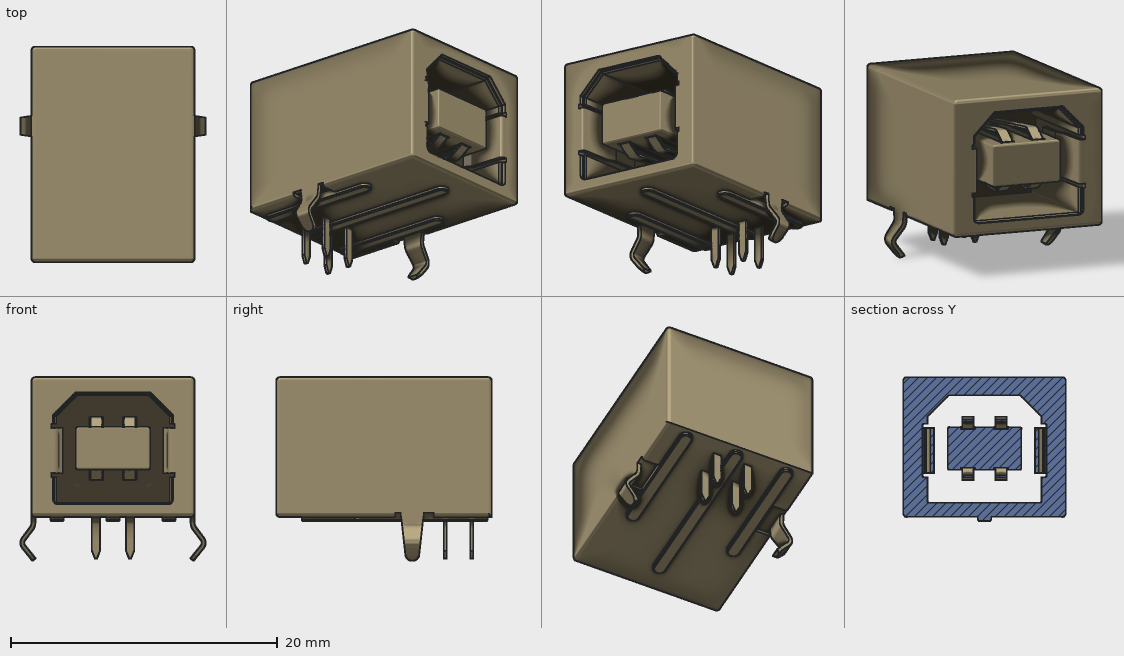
import cadquery as cq
import math


width = 12.25
length = 16.2
height = 10.51
sheet = 0.3
half_width = width / 2

mouth_half = 4.52
mouth_bottom = 0.95
mouth_top = 9.38
mouth_bevel = 1.73
mouth_radius = 0.45
cavity_radius = 0.11
lip_step = 0.11
lip_chamfer = 0.13
cavity_depth = 9.07

tongue_half = 2.79
tongue_bottom = 3.55
tongue_top = 6.77
tongue_front = 0.3
tongue_radius = 0.16

contact_x = 1.25
contact_width = 0.87
contact_thickness = 0.2
contact_front = 1.13
contact_crest_y = 2.27
contact_rise = 0.8
contact_end_rise = 0.16
contact_crest_radius = 0.89
slot_front = 1.04
slot_width = 1.05
slot_depth = 0.15
slot_rise = 0.73

spring_bottom = 3.3
spring_top = 6.69
spring_relief = 0.3
spring_root = 4.47
recess_half = 4.65
recess_radius = 0.08
spring_face_x = 4.18
spring_foot_x = 4.08
spring_step_x = 3.77
spring_step_start = 2.98
spring_step_end = 3.56
spring_step_radius = 0.49
spring_end = 5.83

rail_width = 1.04
rail_height = 0.3
rail_chamfer = 0.1
rail_spacing = 4.2
rail_back = 15.9
middle_rail_front = 1.91
outer_rail_front = 5.95

pin_x = 1.28
pin_width = 0.63
pin_thickness = 0.25
pin_end = -3.11
pin_taper = 0.58
pin_tip = 0.16
pin_rows = (12.7, 14.7)

clip_y = 10.22
clip_root_width = 1.75
clip_tip_width = 1.07
clip_end = -3.29
clip_bend_z = -0.66
clip_elbow_x = 6.93
clip_elbow_z = -1.95
clip_end_x = 5.93
clip_end_z = -3.19
clip_bend_radius = 0.6
clip_elbow_radius = 0.32
notch_front = 8.93
notch_back = 11.83


def front_plane(y):
    """Sketch plane facing the mouth at depth y; extrusions run toward the back."""
    return cq.Workplane(cq.Plane(origin=(0, y, 0), xDir=(1, 0, 0), normal=(0, -1, 0)))


def box(x0, x1, y0, y1, z0, z1):
    return cq.Workplane("XY").box(x1 - x0, y1 - y0, z1 - z0, centered=False).translate((x0, y0, z0))


def both_sides(solid):
    return solid.union(solid.mirror("YZ"))


def parallel(path, offset):
    """Polyline at a constant distance to the right of path, with mitred corners."""
    headings = [math.atan2(b[1] - a[1], b[0] - a[0]) for a, b in zip(path, path[1:])]
    before = headings[:1] + headings
    after = headings + headings[-1:]
    points = []
    for (x, y), first, second in zip(path, before, after):
        middle = (first + second) / 2
        reach = offset / math.cos((second - first) / 2)
        points.append((x + reach * math.sin(middle), y - reach * math.cos(middle)))
    return points


def strip_outline(path):
    """Closed outline of a bent sheet strip whose centre line is path."""
    return parallel(path, sheet / 2) + parallel(path, -sheet / 2)[::-1]


def shell_block():
    block = box(-half_width, half_width, 0, length, 0, height)
    edges = block.edges().objects
    back_bottom = block.faces(">Y").edges("<Z").val()
    rounded = [edge for edge in edges if not edge.isSame(back_bottom)]
    return block.newObject(rounded).fillet(sheet)


def opening(inset, radius, y0, depth, taper=0):
    """Mouth-shaped cutter: square with two bevelled and two rounded corners."""
    half = mouth_half - inset
    bevel = mouth_bevel - inset * (2 - math.sqrt(2))
    top = mouth_top - inset
    bottom = mouth_bottom + max(inset - lip_step, 0)
    diagonal = radius * (1 - math.sqrt(0.5))
    outline = (
        front_plane(y0)
        .moveTo(-half + bevel, top)
        .lineTo(half - bevel, top)
        .lineTo(half, top - bevel)
        .lineTo(half, bottom + radius)
        .threePointArc((half - diagonal, bottom + diagonal), (half - radius, bottom))
        .lineTo(-half + radius, bottom)
        .threePointArc((-half + diagonal, bottom + diagonal), (-half, bottom + radius))
        .lineTo(-half, top - bevel)
        .close()
    )
    return outline.extrude(-depth, taper=taper)


def cavity():
    cut = opening(0, mouth_radius, 0, sheet)
    cut = cut.union(opening(lip_step, cavity_radius + lip_chamfer, sheet, lip_chamfer, taper=45))
    cut = cut.union(opening(lip_step + lip_chamfer, cavity_radius, sheet, cavity_depth - sheet))
    recess = box(
        -recess_half, recess_half, 0, cavity_depth,
        spring_bottom - spring_relief, spring_top + spring_relief,
    )
    return cut.union(recess.edges("|Y").fillet(recess_radius))


def tongue():
    body = box(
        -tongue_half, tongue_half, tongue_front, cavity_depth + sheet, tongue_bottom, tongue_top
    )
    return body.edges("<Y or |Y").fillet(tongue_radius)


def above_and_below_tongue(solid):
    middle = (tongue_top + tongue_bottom) / 2
    return solid.union(solid.mirror("XY", (0, 0, middle)))


def contact_slots(x):
    """Slots along the tongue and up the back wall that give a contact pair side clearance."""
    half = slot_width / 2
    upper = box(
        x - half, x + half, slot_front, cavity_depth + slot_depth,
        tongue_top - slot_depth, tongue_top + slot_rise,
    )
    return above_and_below_tongue(upper)


def contact_pair(x):
    """Sheet strips that rise out of the tongue to a crest and run back into the wall."""
    path = [
        (contact_front, tongue_top),
        (contact_crest_y, tongue_top + contact_rise),
        (cavity_depth + sheet, tongue_top + contact_end_rise),
    ]
    outline = path + parallel(path, contact_thickness)[::-1]
    strip = cq.Workplane("YZ").polyline(outline).close().extrude(contact_width / 2, both=True)
    strip = strip.edges(">Z").fillet(contact_crest_radius)
    return above_and_below_tongue(strip.translate((x, 0, 0)))


def spring():
    """Sheet strip folded in from the shell front, stepping inward toward the plug."""
    path = [
        (-recess_half - sheet, sheet / 2),
        (-spring_face_x - sheet / 2, sheet / 2),
        (-spring_foot_x - sheet / 2, spring_step_start),
        (-spring_step_x - sheet / 2, spring_step_end),
        (-spring_step_x - sheet / 2, spring_end),
    ]
    strip = cq.Workplane("XY").workplane(offset=spring_bottom)
    strip = strip.polyline(strip_outline(path)).close().extrude(spring_top - spring_bottom)
    front_fold = strip.edges("|Z and <Y").edges(">X")
    strip = front_fold.fillet(spring_root - spring_face_x)
    step_foot = cq.selectors.NearestToPointSelector(
        (-spring_foot_x, spring_step_start, (spring_bottom + spring_top) / 2)
    )
    return strip.edges("|Z").edges(step_foot).fillet(spring_step_radius)


def rail(x, front):
    run = rail_back - front
    return (
        cq.Workplane("XY")
        .center(x, front + run / 2)
        .slot2D(run, rail_width, 90)
        .extrude(-rail_height)
        .faces("<Z")
        .chamfer(rail_chamfer)
    )


def pin(x, y):
    half = pin_width / 2
    shoulder = pin_end + pin_taper
    return (
        front_plane(y)
        .center(x, 0)
        .polyline([
            (-half, sheet),
            (-half, shoulder),
            (-pin_tip / 2, pin_end),
            (pin_tip / 2, pin_end),
            (half, shoulder),
            (half, sheet),
        ])
        .close()
        .extrude(pin_thickness / 2, both=True)
    )


def clip():
    """Bent sheet leg, tapering to a round end when seen from the side."""
    path = [
        (-half_width + sheet / 2, 2 * sheet),
        (-half_width + sheet / 2, clip_bend_z),
        (-clip_elbow_x, clip_elbow_z),
        (-clip_end_x, clip_end_z),
    ]
    bent = front_plane(clip_y).polyline(strip_outline(path)).close()
    bent = bent.extrude(clip_root_width, both=True)
    bends = [
        (path[1], "<X", ">X", clip_bend_radius),
        (path[2], ">X", "<X", clip_elbow_radius),
    ]
    for (bend_x, bend_z), inside, outside, radius in bends:
        corners = cq.selectors.BoxSelector(
            (bend_x - sheet, 0, bend_z - sheet), (bend_x + sheet, length, bend_z + sheet)
        )
        bent = bent.edges("|Y").edges(corners).edges(outside).fillet(radius + sheet)
        bent = bent.edges("|Y").edges(corners).edges(inside).fillet(radius)
    half_root = clip_root_width / 2
    half_tip = clip_tip_width / 2
    tip_z = clip_end + half_tip
    silhouette = (
        cq.Workplane("YZ")
        .center(clip_y, 0)
        .moveTo(-half_root, 2 * sheet)
        .lineTo(-half_root, sheet)
        .lineTo(-half_tip, tip_z)
        .threePointArc((0, clip_end), (half_tip, tip_z))
        .lineTo(half_root, sheet)
        .lineTo(half_root, 2 * sheet)
        .close()
        .extrude(-width)
    )
    return bent.intersect(silhouette)


def clip_notch():
    """Opening in the shell's lower edge around the clip, reaching inward to the outer rail."""
    return box(-half_width, -rail_spacing - rail_width / 2, notch_front, notch_back, 0, sheet)


result = shell_block().cut(cavity()).cut(both_sides(clip_notch()))
result = result.union(tongue())
result = result.union(both_sides(spring())).union(both_sides(clip()))
result = result.union(rail(0, middle_rail_front))
for side in (-1, 1):
    result = result.cut(contact_slots(side * contact_x)).union(contact_pair(side * contact_x))
    result = result.union(rail(side * rail_spacing, outer_rail_front))
    for row in pin_rows:
        result = result.union(pin(side * pin_x, row))